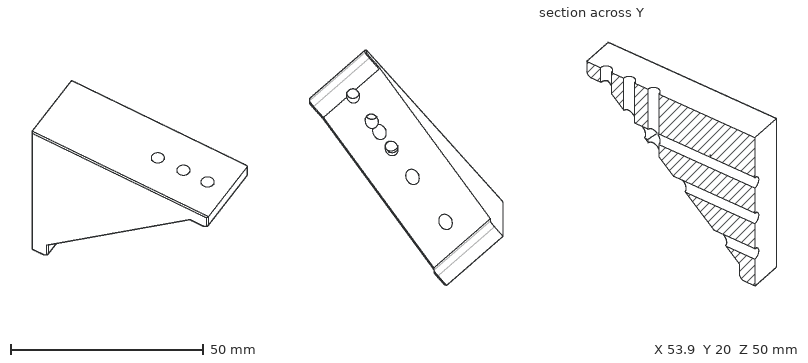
import cadquery as cq

length = 53.9
width = 20.0
height = 50.0

arm_thickness = 5.0
brace_to_tip = 5.5
brace_to_foot = 5.0
tip_radius = 1.6
front_chamfer = 0.4
rear_tip_chamfer = 0.25

hole_diameter = 3.4
top_hole_positions = [32.5, 40.3, 47.7]
side_hole_first_z = 10.85
side_hole_spacing = 11.95
side_hole_count = 3


def bracket_body():
    """Solid corner bracket, with its square corner at X = 0, Z = height."""
    profile = [
        (0, 0),
        (arm_thickness, 0),
        (arm_thickness, brace_to_foot),
        (length - brace_to_tip, height - arm_thickness),
        (length, height - arm_thickness),
        (length, height),
        (0, height),
    ]
    body = cq.Workplane("XZ").polyline(profile).close().extrude(-width)

    arm_tips = [
        (arm_thickness, width / 2, 0),
        (length, width / 2, height - arm_thickness),
    ]
    for tip in arm_tips:
        body = body.edges(cq.selectors.NearestToPointSelector(tip)).fillet(tip_radius)

    body = body.faces(">X").edges(">Y").chamfer(rear_tip_chamfer)

    return body.faces("<Y").chamfer(front_chamfer)


def top_holes():
    """Vertical holes that run from the top face out through the brace."""
    centers = [(x, width / 2) for x in top_hole_positions]
    return cq.Workplane("XY").pushPoints(centers).circle(hole_diameter / 2).extrude(height)


def side_holes():
    """Horizontal holes that run from the back plate out through the brace."""
    centers = [
        (width / 2, side_hole_first_z + index * side_hole_spacing)
        for index in range(side_hole_count)
    ]
    return cq.Workplane("YZ").pushPoints(centers).circle(hole_diameter / 2).extrude(length)


result = bracket_body().cut(top_holes()).cut(side_holes())